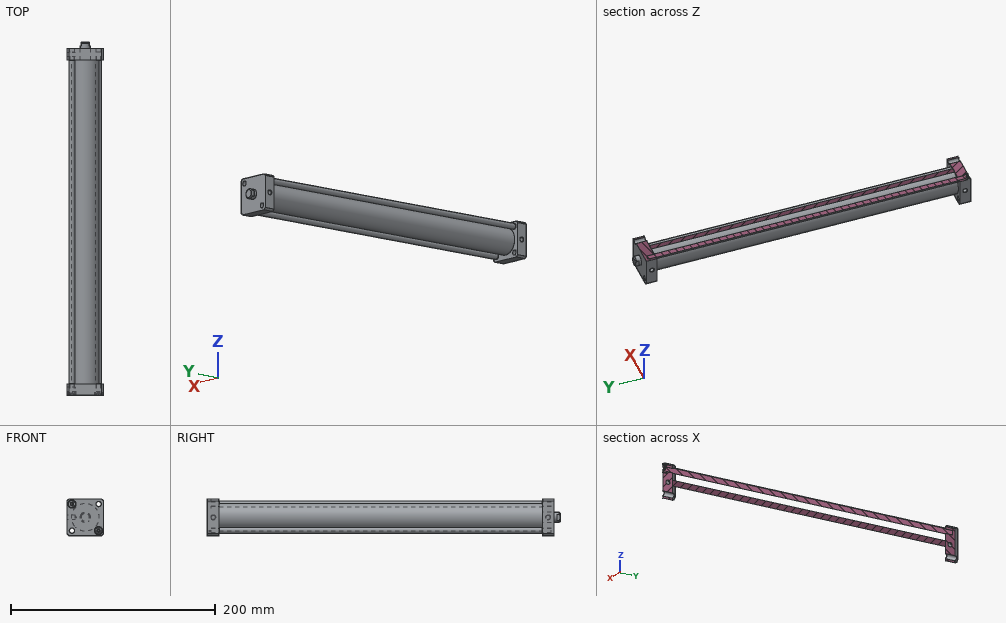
import cadquery as cq
import math

total_length = 345.0
rod_protrusion = 6.0
front_face_y = -total_length / 2
rod_tip_y = total_length / 2
rear_face_y = rod_tip_y - rod_protrusion

cap_side = 36.0
cap_thickness = 11.4
corner_chamfer = 2.0
bolt_offset = 13.0
mounting_hole_diameter = 4.92
port_mouth_diameter = 4.92
port_diameter = 4.13
port_depth = 8.0
port_point_angle = 118.0
port_to_outer_face = 6.0

barrel_diameter = 27.0
barrel_front_y = front_face_y + cap_thickness
barrel_rear_y = rear_face_y - cap_thickness
barrel_length = barrel_rear_y - barrel_front_y

head_diameter = 7.0
head_height = 4.0
counterbore_diameter = 8.0
neck_diameter = 4.0
neck_length = cap_thickness - head_height
shaft_diameter = 6.0
shaft_chamfer = 0.5
stub_length = 8.0
socket_across_flats = 3.0
socket_depth = 2.0
pilot_diameter = 2.0
pilot_depth = 1.0

rod_diameter = 10.0
rod_across_flats = 8.0
rod_flat_length = 3.5
rod_tip_chamfer = 1.1

tie_rod_points = [(-bolt_offset, bolt_offset), (bolt_offset, -bolt_offset)]
mounting_points = [(-bolt_offset, -bolt_offset), (bolt_offset, bolt_offset)]


def plane_at(y):
    """Sketch plane at the given Y with axes X and Z; a negative extrusion goes toward +Y."""
    return cq.Workplane("XZ", origin=(0, y, 0))


def cylinders(points, diameter, start_y, length):
    """Cylinders along +Y at the given (x, z) points."""
    return plane_at(start_y).pushPoints(points).circle(diameter / 2).extrude(-length)


def make_port(y):
    """Drilled port on the -X side: chamfered mouth, straight bore, conical end."""
    mouth_radius = port_mouth_diameter / 2
    bore_radius = port_diameter / 2
    mouth_depth = mouth_radius - bore_radius
    point_length = bore_radius / math.tan(math.radians(port_point_angle / 2))
    profile = [
        (0, 0),
        (0, mouth_radius),
        (mouth_depth, bore_radius),
        (port_depth, bore_radius),
        (port_depth + point_length, 0),
    ]
    port = cq.Workplane("XY").polyline(profile).close().revolve(360, (0, 0, 0), (1, 0, 0))
    return port.translate((-cap_side / 2, y, 0))


def make_cap(start_y, port_y):
    """Square chamfered cap with two mounting holes and a port."""
    cap = plane_at(start_y).rect(cap_side, cap_side).extrude(-cap_thickness)
    cap = cap.edges("|Y").chamfer(corner_chamfer)
    cap = cap.cut(cylinders(mounting_points, mounting_hole_diameter, start_y, cap_thickness))
    return cap.cut(make_port(port_y))


def make_front_cap():
    """Front cap with counterbored holes for the tie rod heads."""
    cap = make_cap(front_face_y, front_face_y + port_to_outer_face)
    cap = cap.cut(cylinders(tie_rod_points, counterbore_diameter, front_face_y, head_height))
    return cap.cut(cylinders(tie_rod_points, neck_diameter, front_face_y, cap_thickness))


def make_rear_cap():
    """Rear cap with the piston rod passage and blind holes for the tie rod stubs."""
    cap = make_cap(barrel_rear_y, rear_face_y - port_to_outer_face)
    cap = cap.cut(cylinders([(0, 0)], rod_diameter, barrel_rear_y, cap_thickness))
    return cap.cut(cylinders(tie_rod_points, neck_diameter, barrel_rear_y, stub_length))


def make_barrel():
    """Round barrel clamped between the caps."""
    return cylinders([(0, 0)], barrel_diameter, barrel_front_y, barrel_length)


def make_tie_rod(x, z):
    """Tie rod whose head, with a hex socket and a pilot hole, sits flush with the front face."""
    center = [(x, z)]
    head = cylinders(center, head_diameter, front_face_y, head_height)
    socket_diameter = socket_across_flats / math.cos(math.pi / 6)
    socket = plane_at(front_face_y).polygon(6, socket_diameter).extrude(-socket_depth)
    socket = socket.rotate((0, 0, 0), (0, 1, 0), 30).translate((x, 0, z))
    pilot = cylinders(center, pilot_diameter, front_face_y + socket_depth, pilot_depth)
    neck = cylinders(center, neck_diameter, front_face_y + head_height, neck_length)
    shaft = cylinders(center, shaft_diameter, barrel_front_y, barrel_length)
    shaft = shaft.faces("<Y or >Y").chamfer(shaft_chamfer)
    stub = cylinders(center, neck_diameter, barrel_rear_y, stub_length)
    return head.cut(socket).cut(pilot).union(neck).union(shaft).union(stub)


def make_piston_rod():
    """Rod end with a chamfered tip and two wrench flats facing -X and +X."""
    rod = cylinders([(0, 0)], rod_diameter, barrel_rear_y, cap_thickness + rod_protrusion)
    rod = rod.faces(">Y").chamfer(rod_tip_chamfer)
    flats_start_y = rod_tip_y - rod_flat_length
    sleeve = plane_at(flats_start_y).rect(rod_diameter, rod_diameter).extrude(-rod_flat_length)
    core = plane_at(flats_start_y).rect(rod_across_flats, rod_diameter).extrude(-rod_flat_length)
    return rod.cut(sleeve.cut(core))


front_cap = make_front_cap()
rear_cap = make_rear_cap()
barrel = make_barrel()
tie_rods = [make_tie_rod(x, z).val() for x, z in tie_rod_points]
piston_rod = make_piston_rod()

result = cq.Compound.makeCompound(
    [front_cap.val(), rear_cap.val(), barrel.val(), *tie_rods, piston_rod.val()]
)